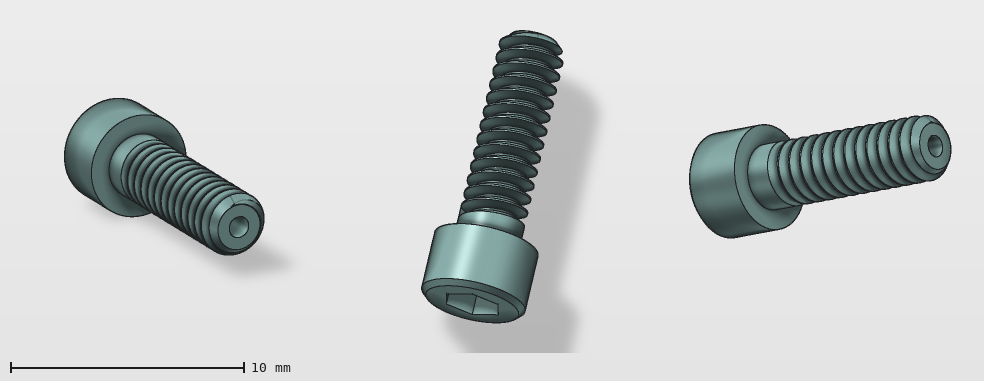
import cadquery as cq
import math

total_length = 12.32
head_length = 2.8
head_radius = 2.28
head_chamfer = 0.23

socket_across_flats = 2.28
socket_depth = 1.3
bore_radius = 0.47

shank_radius = 1.43
root_radius = 1.02
tip_radius = 1.01
tip_chamfer = shank_radius - tip_radius

seam_angle = 100

pitches_under_head = 15
pitch = (total_length - head_length) / pitches_under_head
crest_width = pitch / 8
root_width = 0.1
groove_start = 3.9
tip_overrun = pitch
cutter_overlap = 0.02


def make_blank():
    """Head and plain shank, with both chamfers, turned about the X axis."""
    profile = [
        (0, 0),
        (0, head_radius - head_chamfer),
        (head_chamfer, head_radius),
        (head_length, head_radius),
        (head_length, shank_radius),
        (total_length - tip_chamfer, shank_radius),
        (total_length, tip_radius),
        (total_length, 0),
    ]
    blank = cq.Workplane("XY").polyline(profile).close().revolve(360, (0, 0, 0), (1, 0, 0))
    return blank.rotate((0, 0, 0), (1, 0, 0), seam_angle)


def make_groove():
    """Right-hand helical groove of trapezoid section, wound about the X axis."""
    groove_length = total_length + tip_overrun - groove_start
    helix = cq.Wire.makeHelix(pitch, groove_length, root_radius)
    root_half = root_width / 2
    crest_half = (pitch - crest_width) / 2
    flank_slope = (crest_half - root_half) / (shank_radius - root_radius)
    outer_half = crest_half + cutter_overlap * flank_slope
    outer_radius = shank_radius + cutter_overlap
    section = [
        (root_radius, root_half),
        (outer_radius, outer_half),
        (outer_radius, -outer_half),
        (root_radius, -root_half),
    ]
    groove = cq.Workplane("XZ").polyline(section).close().sweep(cq.Workplane(obj=helix), isFrenet=True)
    return groove.rotate((0, 0, 0), (1, 1, 1), 120).translate((groove_start, 0, 0))


def make_socket():
    """Hexagonal socket with two flats facing +Y and -Y."""
    across_corners = socket_across_flats / math.cos(math.pi / 6)
    return cq.Workplane("YZ").transformed(rotate=(0, 0, 90)).polygon(6, across_corners).extrude(socket_depth)


def make_bore():
    """Round hole through the full length."""
    return cq.Workplane("YZ").circle(bore_radius).extrude(total_length)


result = make_blank().cut(make_groove()).cut(make_socket()).cut(make_bore())